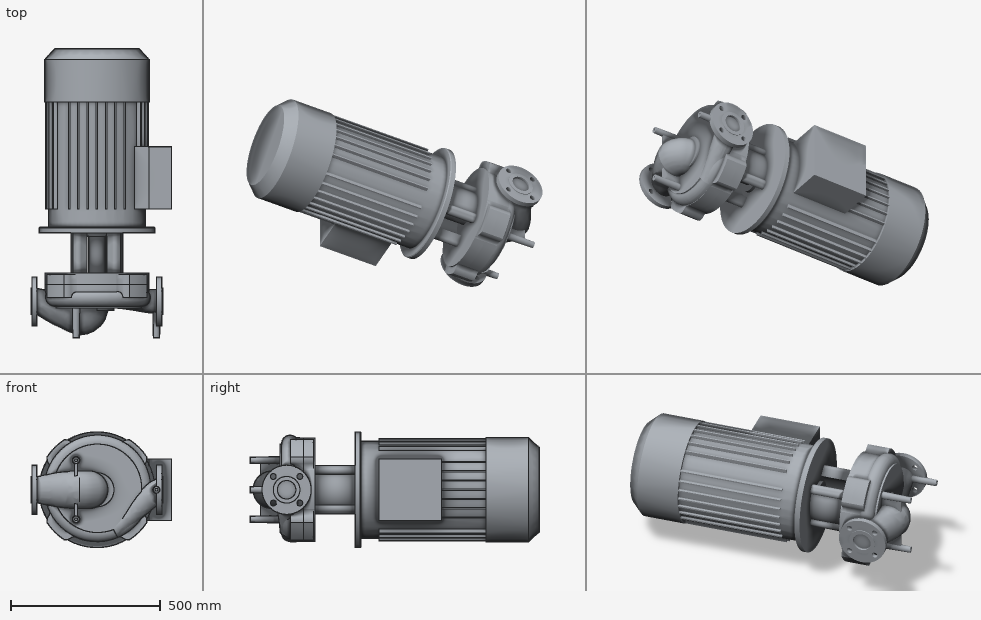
import cadquery as cq
import math


leg_tip_y = -122.0
gusset_end_y = -88.0
boss_y = -30.0
disc_y = -22.0
rim_y = -16.0
lobe_bottom_y = 13.0
joint_y = 57.0
lobe_top_y = 90.0
cover_top_y = 96.0
flange_bottom_y = 229.0
flange_top_y = 248.0
fins_start_y = 308.0
box_top_y = 517.0
cowl_start_y = 666.0
cowl_edge_y = 808.0
cowl_top_y = leg_tip_y + 967

motor_radius = 162.0
motor_flange_diameter = 388.0
motor_flange_chamfer = 3.0
fin_tip_radius = 172.0
fin_thickness = 5.0
fin_spacing = 31.0
fins_each_way = 3
cowl_radius = 175.0
cowl_end_radius = 141.0

box_half_width = 103.0
box_inner_x = 174.0
box_outer_x = 249.0

lantern_radius = 87.0
lantern_bore_radius = 67.0
lantern_wall_half_width = 51.0
window_inner_half_width = 33.0
bead_start = (52.0, 77.0)
bead_top = (62.0, 81.0)
bead_flat_start = (71.0, 77.0)
bead_flat_end = (76.0, 72.0)
bead_side = (79.0, 61.0)
shaft_radius = 28.0
spigot_radius = 50.0
spigot_height = 12.0

joint_radius = 174.0
joint_face_half_width = 66.0
lobe_hollow = (77.0, 158.0)
lobe_bend = (86.0, 160.0)
lobe_crest = (98.0, 166.0)
lobe_corner = (109.0, 167.0)

volute_center_x = 2.0
volute_center_z = 5.0
volute_radius = 150.0
volute_tube_radius = 28.0
disc_radius = 148.0
boss_radius = 57.0

face_x = 220.0
raised_face_height = 3.0
raised_face_radius = 44.0
pipe_flange_radius = 82.0
inlet_flange_thickness = 16.0
outlet_flange_thickness = 18.0
bore_radius = 31.0
bore_depth = 10.0
bolt_circle_radius = 63.0
bolt_hole_radius = 10.0

inlet_radius = 43.5
inlet_middle_x = -121.0
inlet_middle_y = -30.0
inlet_middle_radius = 59.0
elbow_pivot_x = -58.0
elbow_outer_radius = 96.0
elbow_pipe_radius = 63.0

outlet_radius = 41.0
outlet_sections = [
    ((56.0, 6.0, -134.0), 28.0, 28),
    ((134.0, 3.0, -64.0), 35.0, 49),
    ((171.0, 1.0, -27.0), 39.0, 40),
    ((face_x - raised_face_height - outlet_flange_thickness / 2, 0.0, 0.0), outlet_radius, 0),
]

leg_top_radius = 13.0
leg_tip_radius = 11.0
leg_hole_radius = 5.0
leg_hole_depth = 10.0
inlet_leg_x = -70.0
inlet_leg_z = 99.0
outlet_leg_x = 199.0
outlet_leg_top_y = -34.0
gusset_thickness = 10.0


def at_level(y, x=0, z=0):
    """Workplane across the motor axis; its local x and y are X and Z."""
    return cq.Workplane("XZ", origin=(x, y, z))


def cylinder(radius, y_from, y_to, x=0, z=0):
    return at_level(y_from, x, z).circle(radius).extrude(y_from - y_to)


def build_motor():
    body = cylinder(motor_radius, flange_top_y, cowl_start_y)

    fins_length = cowl_start_y - fins_start_y
    for index in range(-fins_each_way, fins_each_way + 1):
        offset = index * fin_spacing
        span = 2 * math.sqrt(fin_tip_radius**2 - offset**2)
        body = body.union(at_level(fins_start_y, x=offset).rect(fin_thickness, span).extrude(-fins_length))
        body = body.union(at_level(fins_start_y, z=offset).rect(span, fin_thickness).extrude(-fins_length))

    saddle = at_level(fins_start_y, x=box_inner_x / 2).rect(box_inner_x, 2 * box_half_width)
    return body.union(saddle.extrude(fins_start_y - box_top_y))


def build_cowl():
    outline = [
        (0, cowl_start_y),
        (cowl_radius, cowl_start_y),
        (cowl_radius, cowl_edge_y),
        (cowl_end_radius, cowl_top_y),
        (0, cowl_top_y),
    ]
    return cq.Workplane("XY").polyline(outline).close().revolve(360, (0, 0), (0, 1))


def build_terminal_box():
    depth = box_outer_x - box_inner_x
    base = at_level(fins_start_y, x=box_inner_x + depth / 2).rect(depth, 2 * box_half_width)
    return base.extrude(fins_start_y - box_top_y)


def halfway_to_x_axis(x, z):
    """Middle of the arc about the motor axis from the X axis to a point."""
    radius = math.hypot(x, z)
    angle = math.atan2(z, x) / 2
    return radius * math.cos(angle), radius * math.sin(angle)


def build_lantern():
    """Two walls, a flange for the motor and the spigot between the wall tops, as one body."""
    flange = cylinder(motor_flange_diameter / 2, flange_bottom_y, flange_top_y)
    flange = flange.faces(">Y").edges().chamfer(motor_flange_chamfer)
    spigot = cylinder(spigot_radius, flange_bottom_y - spigot_height, flange_bottom_y)

    height = flange_bottom_y - cover_top_y
    wall_edge_x = math.sqrt(lantern_radius**2 - lantern_wall_half_width**2)
    window_edge_z = math.sqrt(lantern_bore_radius**2 - window_inner_half_width**2)
    half_wall = (
        at_level(cover_top_y)
        .moveTo(window_inner_half_width, window_edge_z)
        .lineTo(*bead_start)
        .threePointArc(bead_top, bead_flat_start)
        .lineTo(*bead_flat_end)
        .threePointArc(bead_side, (wall_edge_x, lantern_wall_half_width))
        .threePointArc(halfway_to_x_axis(wall_edge_x, lantern_wall_half_width), (lantern_radius, 0))
        .lineTo(lantern_bore_radius, 0)
        .threePointArc(
            halfway_to_x_axis(window_inner_half_width, window_edge_z),
            (window_inner_half_width, window_edge_z),
        )
        .close()
        .extrude(-height)
    )
    wall = half_wall.union(half_wall.mirror("XY"))
    return flange.union(spigot).union(wall).union(wall.mirror("YZ"))


def build_shaft():
    return cylinder(shaft_radius, cover_top_y, flange_bottom_y - spigot_height)


def lobed_block(y_from, y_to):
    """Round block with a lobe on each diagonal."""
    face_edge = (joint_face_half_width, math.sqrt(joint_radius**2 - joint_face_half_width**2))
    lobe_middle = math.hypot(*lobe_corner) / math.sqrt(2)

    def turned(point, quarter):
        x, z = point
        for _ in range(quarter):
            x, z = z, -x
        return x, z

    def swapped(point):
        return point[1], point[0]

    outline = at_level(y_from).moveTo(*face_edge)
    for quarter in range(4):
        arcs = [
            (lobe_hollow, lobe_bend),
            (lobe_crest, lobe_corner),
            ((lobe_middle, lobe_middle), swapped(lobe_corner)),
            (swapped(lobe_crest), swapped(lobe_bend)),
            (swapped(lobe_hollow), swapped(face_edge)),
            ((joint_radius, 0), turned(face_edge, 1)),
        ]
        for middle, end in arcs:
            outline = outline.threePointArc(turned(middle, quarter), turned(end, quarter))
    return outline.close().extrude(y_from - y_to)


def build_cover():
    block = lobed_block(joint_y, cover_top_y)
    lobe_tops = lobed_block(lobe_top_y, cover_top_y).cut(cylinder(joint_radius, lobe_top_y, cover_top_y))
    return block.cut(lobe_tops)


def build_volute():
    block = lobed_block(lobe_bottom_y, joint_y)
    disc = cylinder(disc_radius, disc_y, lobe_bottom_y, volute_center_x, volute_center_z)
    boss = cylinder(boss_radius, boss_y, lobe_bottom_y)
    tube_y = rim_y + volute_tube_radius
    tube_top_y = tube_y + volute_tube_radius
    ring = (
        cq.Workplane("YZ", origin=(volute_center_x, 0, volute_center_z))
        .moveTo(rim_y, 0)
        .lineTo(rim_y, -volute_radius)
        .threePointArc((tube_y, -volute_radius - volute_tube_radius), (tube_top_y, -volute_radius))
        .lineTo(tube_top_y, 0)
        .close()
        .revolve(360, (0, 0), (1, 0))
    )
    return block.union(ring).union(disc).union(boss)


def build_inlet_pipe():
    start_x = raised_face_height + inlet_flange_thickness - face_x
    elbow_center_y = rim_y - elbow_outer_radius + elbow_pipe_radius
    pipe = (
        cq.Workplane("YZ", origin=(start_x, 0, 0))
        .circle(inlet_radius)
        .workplane(offset=inlet_middle_x - start_x)
        .center(inlet_middle_y, 0)
        .circle(inlet_middle_radius)
        .workplane(offset=elbow_pivot_x - inlet_middle_x)
        .center(elbow_center_y - inlet_middle_y, 0)
        .circle(elbow_pipe_radius)
        .loft()
    )
    bend_radius = elbow_outer_radius - elbow_pipe_radius
    half_chord = math.sqrt(elbow_pipe_radius**2 - bend_radius**2)
    elbow = (
        cq.Workplane("YZ", origin=(elbow_pivot_x, rim_y, 0))
        .moveTo(0, -half_chord)
        .threePointArc((-elbow_outer_radius, 0), (0, half_chord))
        .close()
        .revolve(90, (0, 0), (0, 1))
    )
    return pipe.union(elbow)


def build_outlet_pipe():
    wires = []
    for center, radius, angle in outlet_sections:
        turn = math.radians(angle)
        direction = cq.Vector(math.cos(turn), 0, math.sin(turn))
        wires.append(cq.Wire.makeCircle(radius, cq.Vector(*center), direction))
    return cq.Workplane(cq.Solid.makeLoft(wires))


def pipe_flange(thickness):
    """Flange whose raised face looks along -X at the inlet side."""
    plate = cq.Workplane("YZ", origin=(raised_face_height - face_x, 0, 0)).circle(pipe_flange_radius)
    face = cq.Workplane("YZ", origin=(-face_x, 0, 0)).circle(raised_face_radius)
    return plate.extrude(thickness).union(face.extrude(raised_face_height))


def flange_holes(thickness):
    """Four bolt holes and the blind bore of a pipe flange at the inlet side."""
    depth = raised_face_height + thickness
    start = cq.Workplane("YZ", origin=(-face_x, 0, 0))
    bolts = start.polarArray(bolt_circle_radius, 45, 360, 4).circle(bolt_hole_radius).extrude(depth)
    return bolts.union(start.circle(bore_radius).extrude(bore_depth))


def build_gusset():
    plate = at_level(gusset_end_y, x=inlet_leg_x).rect(gusset_thickness, 2 * inlet_leg_z)
    return plate.extrude(gusset_end_y - disc_y)


def build_casing(legs):
    casing = build_volute().union(build_inlet_pipe()).union(build_outlet_pipe()).union(build_gusset())
    casing = casing.union(pipe_flange(inlet_flange_thickness))
    casing = casing.union(pipe_flange(outlet_flange_thickness).mirror("YZ"))
    casing = casing.cut(flange_holes(inlet_flange_thickness))
    casing = casing.cut(flange_holes(outlet_flange_thickness).mirror("YZ"))
    for leg in legs:
        casing = casing.cut(leg)
    return casing


def build_leg(x, z, top_y):
    """Leg that tapers down to its tip, with a blind hole in the tip."""
    leg = (
        cq.Workplane("XY", origin=(x, 0, z))
        .polyline([(0, leg_tip_y), (leg_tip_radius, leg_tip_y), (leg_top_radius, top_y), (0, top_y)])
        .close()
        .revolve(360, (0, 0), (0, 1))
    )
    return leg.cut(cylinder(leg_hole_radius, leg_tip_y, leg_tip_y + leg_hole_depth, x, z))


leg_places = [
    (inlet_leg_x, inlet_leg_z, disc_y),
    (inlet_leg_x, -inlet_leg_z, disc_y),
    (outlet_leg_x, 0, outlet_leg_top_y),
]
legs = [build_leg(*place) for place in leg_places]
motor = build_motor()
cowl = build_cowl()
terminal_box = build_terminal_box()
lantern = build_lantern()
shaft = build_shaft()
cover = build_cover()
casing = build_casing(legs)

result = cq.Compound.makeCompound(
    [body.val() for body in [motor, cowl, terminal_box, lantern, shaft, cover, casing, *legs]]
)